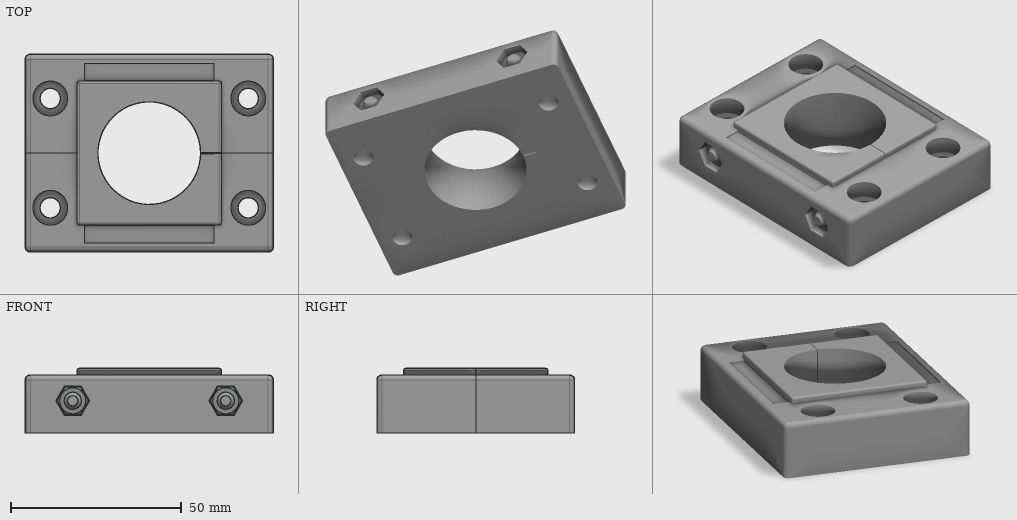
import cadquery as cq
import math

LENGTH = 72.8
WIDTH = 58.0
TOTAL_HEIGHT = 19.0
BLOCK_HEIGHT = 17.0
BLOCK_EDGE_RADIUS = 1.5

MOUNT_SPACING_X = 58.0
MOUNT_SPACING_Y = 32.0
MOUNT_HOLE_DIAMETER = 5.9
COUNTERBORE_DIAMETER = 10.2
COUNTERBORE_DEPTH = 5.25

LIP_SIZE = 42.2
LIP_EDGE_RADIUS = 0.65
PLUG_SIZE = 37.85
BORE_DIAMETER = 30.0
SLIT_WIDTH = 0.3

RECESS_LENGTH = 37.85
RECESS_WIDTH = 5.0
RECESS_DEPTH = 0.5
RECESS_LIP_GAP = 0.15

STUD_SPACING = 44.85
STUD_HEIGHT = 9.5
STUD_DIAMETER = 5.0
STUD_TIP_CHAMFER_RADIAL = 1.0
STUD_TIP_CHAMFER_AXIAL = 1.45
STUD_TIP_DEPTH = 0.4
NUT_ACROSS_FLATS = 8.0
NUT_THICKNESS = 4.0
NUT_CHAMFER_RADIAL = 0.8
NUT_CHAMFER_AXIAL = 0.5
NUT_DEPTH = 2.05
POCKET_ACROSS_FLATS = 8.5

FRONT_FACE = -WIDTH / 2
NUT_FACE = FRONT_FACE + NUT_DEPTH
NUT_SEAT = NUT_FACE + NUT_THICKNESS
STUD_XS = (-STUD_SPACING / 2, STUD_SPACING / 2)
COS_30 = math.cos(math.radians(30))


def rod_y(x, diameter, y_start, y_end):
    """Round bar parallel to Y at the stud height."""
    plane = cq.Plane((x, y_start, STUD_HEIGHT), xDir=(1, 0, 0), normal=(0, 1, 0))
    return cq.Workplane(plane).circle(diameter / 2).extrude(y_end - y_start)


def hex_y(x, across_flats, y_start, y_end):
    """Hexagonal bar parallel to Y, corners pointing along X."""
    plane = cq.Plane((x, y_start, STUD_HEIGHT), xDir=(1, 0, 0), normal=(0, 1, 0))
    return cq.Workplane(plane).polygon(6, across_flats / COS_30).extrude(y_end - y_start)


def make_block():
    """Whole block with every opening, before it is split in two."""
    block = cq.Workplane("XY").box(LENGTH, WIDTH, BLOCK_HEIGHT, centered=(True, True, False))
    block = block.edges("|Z").fillet(BLOCK_EDGE_RADIUS)
    block = block.faces(">Z").edges().fillet(BLOCK_EDGE_RADIUS)
    block = (
        block.faces(">Z").workplane(origin=(0, 0, BLOCK_HEIGHT))
        .rarray(MOUNT_SPACING_X, MOUNT_SPACING_Y, 2, 2)
        .cboreHole(MOUNT_HOLE_DIAMETER, COUNTERBORE_DIAMETER, COUNTERBORE_DEPTH)
    )
    recess_offset = LIP_SIZE + 2 * RECESS_LIP_GAP + RECESS_WIDTH
    recesses = (
        cq.Workplane("XY", origin=(0, 0, BLOCK_HEIGHT))
        .rarray(0.7, recess_offset, 1, 2)
        .rect(RECESS_LENGTH, RECESS_WIDTH)
        .extrude(-RECESS_DEPTH)
    )
    window = cq.Workplane("XY").rect(PLUG_SIZE, PLUG_SIZE).extrude(BLOCK_HEIGHT)
    block = block.cut(recesses).cut(window)
    for x in STUD_XS:
        block = block.cut(rod_y(x, STUD_DIAMETER, FRONT_FACE, -FRONT_FACE))
        block = block.cut(hex_y(x, POCKET_ACROSS_FLATS, FRONT_FACE, NUT_SEAT))
    return block


def make_half(block, side):
    """Half of the block on the -Y (side = -1) or +Y (side = 1) side."""
    depth = WIDTH / 2
    keep = cq.Workplane("XY", origin=(0, side * depth / 2, 0)).box(
        LENGTH, depth, BLOCK_HEIGHT, centered=(True, True, False)
    )
    return block.intersect(keep)


def make_grommet():
    """Plug with a wider square lip on top, bored through and slit to the +X side."""
    lip = (
        cq.Workplane("XY", origin=(0, 0, BLOCK_HEIGHT))
        .rect(LIP_SIZE, LIP_SIZE)
        .extrude(TOTAL_HEIGHT - BLOCK_HEIGHT)
        .edges("|Z").fillet(LIP_EDGE_RADIUS)
        .faces(">Z").edges().fillet(LIP_EDGE_RADIUS)
    )
    plug = cq.Workplane("XY").rect(PLUG_SIZE, PLUG_SIZE).extrude(BLOCK_HEIGHT)
    bore = cq.Workplane("XY").circle(BORE_DIAMETER / 2).extrude(TOTAL_HEIGHT)
    slit = cq.Workplane("XY").box(LIP_SIZE, SLIT_WIDTH, TOTAL_HEIGHT, centered=(False, True, False))
    return lip.union(plug).cut(bore).cut(slit)


def make_stud(x):
    """Stud running to the +Y face, with a chamfered tip near the -Y face."""
    stud = rod_y(x, STUD_DIAMETER, FRONT_FACE + STUD_TIP_DEPTH, -FRONT_FACE)
    return stud.faces("<Y").chamfer(STUD_TIP_CHAMFER_AXIAL, STUD_TIP_CHAMFER_RADIAL)


def make_nut(x):
    """Hexagon nut whose outer corners are turned down to a cone on the -Y side."""
    nut = hex_y(x, NUT_ACROSS_FLATS, NUT_FACE, NUT_SEAT)
    turned = rod_y(x, NUT_ACROSS_FLATS / COS_30, NUT_FACE, NUT_SEAT)
    turned = turned.faces("<Y").chamfer(NUT_CHAMFER_AXIAL, NUT_CHAMFER_RADIAL)
    return nut.intersect(turned).cut(rod_y(x, STUD_DIAMETER, NUT_FACE, NUT_SEAT))


block = make_block()
front_half = make_half(block, -1)
back_half = make_half(block, 1)
grommet = make_grommet()
studs = [make_stud(x) for x in STUD_XS]
nuts = [make_nut(x) for x in STUD_XS]

result = cq.Compound.makeCompound(
    [front_half.val(), back_half.val(), grommet.val()]
    + [stud.val() for stud in studs]
    + [nut.val() for nut in nuts]
)